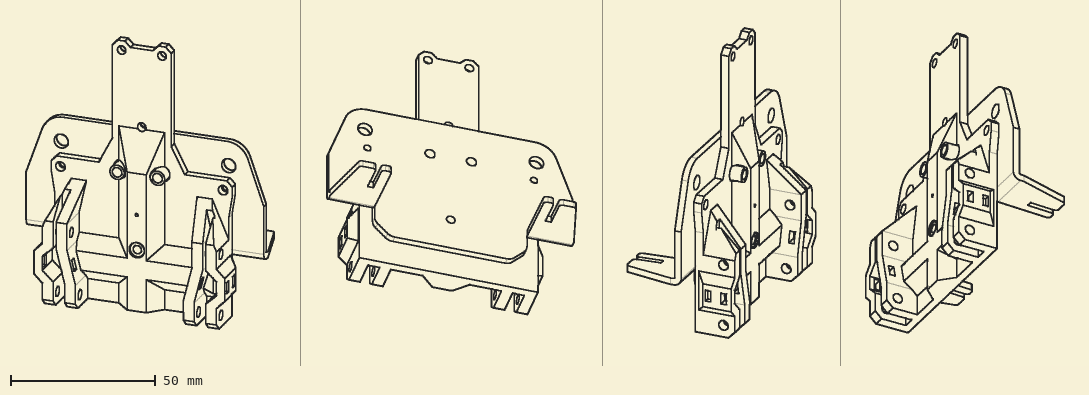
import cadquery as cq
import math


overall_width = 88.0
overall_depth = 38.1
overall_height = 98.3

plate_depth = 3.0
strip_half_width = 10.9
strip_base_z = 61.3
ear_inner_x = 4.1
ear_chamfer = 2.1
notch_z = overall_height - ear_chamfer
shoulder_z = 51.6
shoulder_inner_x = 15.9
shoulder_outer_x = 33.5
shoulder_chamfer = 2.1
taper_top_z = 46.2
taper_bottom_z = 38.1

rib_depth = 8.0
rib_front_half = 3.5
rib_base_half = rib_front_half + rib_depth - plate_depth
spine_base_top_z = 66.2
spine_front_top_z = shoulder_z
beam_z = 15.9

arm_depth = 15.0
arm_thickness = 4.0
arm_slope_bottom_z = 32.0
arm_top_z = arm_slope_bottom_z + arm_depth - plate_depth
arm_foot_chamfer = 2.5
outer_arm_x = 32.2
outer_arm_bend_z = 29.7
outer_arm_lean = 6.2
inner_arm_x = 27.1
inner_arm_foot_x = 24.0
inner_arm_lean = 2.7
gap_floor_depth = 6.1

bulge_height = 3.0
bulge_base_half = 7.4
bulge_base_depth = 1.3
pocket_half = 6.3
pocket_end_half = 2.6
pocket_depth = plate_depth + rib_base_half - pocket_half
pocket_floor_end_x = 27.3

arm_hole_diameter = 3.5
arm_hole_depth = 10.7
arm_hole_zs = (4.4, 27.2)
window_height = 4.0
window_width = 2.1
blind_window_depth = 6.2
through_window_depth = 12.2
blind_window_length = 2.0

screw_hole_diameter = 3.0
ear_hole_x = 7.5
ear_hole_z = 94.7
strip_hole_z = 67.0
pin_hole_diameter = 1.0
pin_hole_z = 36.1
pin_hole_length = 2.0
corner_hole_x = 30.1
corner_hole_z = 47.9
corner_hole_diameter = 3.4

sheet_thickness = 2.5
sheet_half_width = overall_width / 2
sheet_top_z = 65.1
sheet_slant_bottom_z = 42.7
sheet_slant_top_x = 36.2
sheet_corner_radius = 8.2
sheet_corner_hole_diameter = 2.5
mount_hole_diameter = 5.1
mount_hole_x = 31.0
mount_hole_z = 56.0
lobe_half_width = 27.5
lobe_bottom_z = 10.2
lobe_chamfer = 5.7
lobe_corner_radius = 7.2 / 2

stud_diameter = 5.3
upper_clearance_diameter = 5.9
lower_clearance_diameter = 5.6
stud_depth = 7.4
upper_stud_x = ear_hole_x
upper_stud_z = 50.7
upper_bore_diameter = 3.5
lower_stud_z = 22.9
lower_bore_diameter = screw_hole_diameter

bend_z = 24.9
bend_outer_radius = 5.6 / 2
bend_inner_radius = bend_outer_radius - sheet_thickness
tab_tilt = math.radians(2.3)
tab_end_depth = arm_depth - overall_depth
tab_straight_end_depth = -4.1
tab_outer_tip_x = 39.0
tab_slot_outer_x = 33.1
tab_slot_width = 2.1
tab_slot_end_depth = -12.7
tab_corner_radius = 1.2


def prism(points, depth_from, depth_to):
    """Extrude an X-Z outline between two depths."""
    plane = cq.Workplane("XZ", origin=(0, -depth_from, 0))
    return plane.polyline(points).close().extrude(depth_to - depth_from)


def side_prism(points, x_from, x_to):
    """Extrude a (depth, Z) outline between two X positions."""
    plane = cq.Workplane("YZ", origin=(x_from, 0, 0))
    return plane.polyline([(-depth, z) for depth, z in points]).close().extrude(x_to - x_from)


def cylinder(x, z, diameter, depth_from, depth_to):
    plane = cq.Workplane("XZ", origin=(x, -depth_from, z))
    return plane.circle(diameter / 2).extrude(depth_to - depth_from)


def both_sides(shape):
    return shape.union(shape.mirror("YZ"))


def mirrored_outline(right_points):
    """Complete an outline from its right half, listed from bottom to top."""
    return right_points + [(-x, z) for x, z in reversed(right_points)]


def plate():
    right_half = [
        (outer_arm_x, 0),
        (outer_arm_x, taper_bottom_z),
        (shoulder_outer_x, taper_top_z),
        (shoulder_outer_x, shoulder_z - shoulder_chamfer),
        (shoulder_outer_x - shoulder_chamfer, shoulder_z),
        (shoulder_inner_x, shoulder_z),
        (strip_half_width, strip_base_z),
        (strip_half_width, overall_height - ear_chamfer),
        (strip_half_width - ear_chamfer, overall_height),
        (ear_inner_x + ear_chamfer, overall_height),
        (ear_inner_x, notch_z),
    ]
    return prism(mirrored_outline(right_half), 0, plate_depth)


def spine():
    """Vertical rib with 45 degree flanks and a sloped upper end."""
    section = [
        (-rib_base_half, -plate_depth),
        (-rib_front_half, -rib_depth),
        (rib_front_half, -rib_depth),
        (rib_base_half, -plate_depth),
    ]
    bar = cq.Workplane("XY").polyline(section).close().extrude(spine_base_top_z)
    side_outline = [
        (plate_depth, 0),
        (rib_depth, 0),
        (rib_depth, spine_front_top_z),
        (plate_depth, spine_base_top_z),
    ]
    return bar.intersect(side_prism(side_outline, -rib_base_half, rib_base_half))


def beam():
    """Cross rib between the outer arms, with the same section as the spine."""
    section = [
        (plate_depth, beam_z - rib_base_half),
        (rib_depth, beam_z - rib_front_half),
        (rib_depth, beam_z + rib_front_half),
        (plate_depth, beam_z + rib_base_half),
    ]
    reach = outer_arm_x - arm_thickness
    return side_prism(section, -reach, reach)


def arm_envelope():
    """Side outline shared by both arms: a 45 degree top and a chamfered foot."""
    outline = [
        (0, 0),
        (arm_depth - arm_foot_chamfer, 0),
        (arm_depth, arm_foot_chamfer),
        (arm_depth, arm_slope_bottom_z),
        (plate_depth, arm_top_z),
        (0, arm_top_z),
    ]
    return side_prism(outline, 0, sheet_half_width)


def arm(outer_edge):
    """Arm of constant X thickness whose outer edge follows the given X-Z points."""
    inner_edge = [(x - arm_thickness, z) for x, z in reversed(outer_edge)]
    return prism(outer_edge + inner_edge, 0, arm_depth)


def bulge():
    """Trapezoidal swelling of the outer arm, bevelled at 45 degrees toward the plate."""
    top_half = bulge_base_half - bulge_height
    outline = [
        (outer_arm_x, beam_z - bulge_base_half),
        (outer_arm_x + bulge_height, beam_z - top_half),
        (outer_arm_x + bulge_height, beam_z + top_half),
        (outer_arm_x, beam_z + bulge_base_half),
    ]
    bevel = [
        (outer_arm_x, -bulge_base_depth),
        (outer_arm_x + bulge_height, -bulge_base_depth - bulge_height),
        (outer_arm_x + bulge_height, -arm_depth),
        (outer_arm_x, -arm_depth),
    ]
    envelope = cq.Workplane("XY").polyline(bevel).close().extrude(arm_slope_bottom_z)
    return prism(outline, 0, arm_depth).intersect(envelope)


def pocket():
    """Clearance between the arms: a flat floor ending in a 45 degree rise toward the spine."""
    outline = [
        (0, beam_z - pocket_half),
        (outer_arm_x - arm_thickness, beam_z - pocket_half),
        (outer_arm_x, beam_z - pocket_end_half),
        (outer_arm_x, beam_z + pocket_end_half),
        (outer_arm_x - arm_thickness, beam_z + pocket_half),
        (0, beam_z + pocket_half),
    ]
    rise = arm_depth - pocket_depth
    floor = [
        (outer_arm_x, -pocket_depth),
        (pocket_floor_end_x, -pocket_depth),
        (pocket_floor_end_x - rise, -arm_depth),
        (outer_arm_x, -arm_depth),
    ]
    envelope = cq.Workplane("XY").polyline(floor).close().extrude(arm_slope_bottom_z)
    return prism(outline, 0, arm_depth).intersect(envelope)


def outer_arm():
    """Arm that leans inward near its top, cut back beside the inner arm to leave a gap."""
    edge = [
        (outer_arm_x, 0),
        (outer_arm_x, outer_arm_bend_z),
        (outer_arm_x - outer_arm_lean, arm_top_z),
    ]
    gap_outer_x = outer_arm_x - arm_thickness
    gap_outline = [(0, 0), (gap_outer_x, 0), (gap_outer_x, arm_top_z), (0, arm_top_z)]
    gap = prism(gap_outline, gap_floor_depth, arm_depth)
    return arm(edge).intersect(arm_envelope()).cut(gap).union(bulge())


def inner_arm():
    """Arm that steps away from the bulge at its foot."""
    edge = [
        (inner_arm_foot_x, 0),
        (inner_arm_foot_x, beam_z - pocket_half),
        (inner_arm_x, beam_z + pocket_half),
        (inner_arm_x, arm_slope_bottom_z),
        (inner_arm_x - inner_arm_lean, arm_top_z),
    ]
    return arm(edge).intersect(arm_envelope())


def arm_openings():
    """Round holes and a window through both arms, and a blind window in the outer face."""
    end_x = inner_arm_foot_x - arm_thickness
    bulge_x = outer_arm_x + bulge_height
    plane = cq.Workplane("YZ", origin=(end_x, 0, 0))
    holes = plane.pushPoints([(-arm_hole_depth, z) for z in arm_hole_zs])
    through_window = plane.center(-through_window_depth, beam_z)
    blind_window = cq.Workplane("YZ", origin=(bulge_x, -blind_window_depth, beam_z))
    return (
        holes.circle(arm_hole_diameter / 2).extrude(bulge_x - end_x)
        .union(through_window.rect(window_width, window_height).extrude(bulge_x - end_x))
        .union(blind_window.rect(window_width, window_height).extrude(-blind_window_length))
    )


def at_studs(upper_diameter, lower_diameter, depth_from, depth_to):
    """Cylinders on the three stud axes: a mirrored upper pair and one lower centre stud."""
    upper = cylinder(upper_stud_x, upper_stud_z, upper_diameter, depth_from, depth_to)
    lower = cylinder(0, lower_stud_z, lower_diameter, depth_from, depth_to)
    return both_sides(upper).union(lower)


def bracket_holes():
    ear = cylinder(ear_hole_x, ear_hole_z, screw_hole_diameter, 0, plate_depth)
    corner = cylinder(corner_hole_x, corner_hole_z, corner_hole_diameter, 0, plate_depth)
    strip = cylinder(0, strip_hole_z, screw_hole_diameter, 0, rib_depth)
    pin = cylinder(0, pin_hole_z, pin_hole_diameter, rib_depth - pin_hole_length, rib_depth)
    clearance = at_studs(upper_clearance_diameter, lower_clearance_diameter, 0, rib_depth)
    return both_sides(ear).union(both_sides(corner)).union(strip).union(pin).union(clearance)


def make_bracket():
    body = plate().union(beam()).union(both_sides(outer_arm()))
    body = body.cut(both_sides(pocket()))
    body = body.union(both_sides(inner_arm()))
    body = body.cut(both_sides(arm_openings()))
    return body.union(spine()).cut(bracket_holes())


def sheet():
    """Flat part of the back plate: the upper shield and the lower lobe between the tabs."""
    right_shield = [
        (sheet_half_width, bend_z),
        (sheet_half_width, sheet_slant_bottom_z),
        (sheet_slant_top_x, sheet_top_z),
    ]
    shield = prism(mirrored_outline(right_shield), -sheet_thickness, 0)
    shield = shield.edges("|Y and >Z").fillet(sheet_corner_radius)
    right_lobe = [
        (lobe_half_width - lobe_chamfer, lobe_bottom_z),
        (lobe_half_width, lobe_bottom_z + lobe_chamfer),
        (lobe_half_width, bend_z),
    ]
    lobe = prism(mirrored_outline(right_lobe), -sheet_thickness, 0)
    lobe = lobe.edges("|Y and (not >Z)").fillet(lobe_corner_radius)
    return shield.union(lobe)


def tab_profile():
    """(Y, Z) section of the bend and the slightly drooping tab, swept across the whole half."""
    centre_y = bend_outer_radius
    end_y = -tab_end_depth

    def bend_point(radius, angle):
        return (centre_y - radius * math.cos(angle), bend_z - radius * math.sin(angle))

    turn = math.pi / 2 - tab_tilt
    outer_end = bend_point(bend_outer_radius, turn)
    inner_end = bend_point(bend_inner_radius, turn)
    drop = math.tan(tab_tilt)
    return (
        cq.Workplane("YZ", origin=(lobe_half_width, 0, 0))
        .moveTo(0, bend_z)
        .threePointArc(bend_point(bend_outer_radius, turn / 2), outer_end)
        .lineTo(end_y, outer_end[1] - (end_y - outer_end[0]) * drop)
        .lineTo(end_y, inner_end[1] - (end_y - inner_end[0]) * drop)
        .lineTo(*inner_end)
        .threePointArc(bend_point(bend_inner_radius, turn / 2), (sheet_thickness, bend_z))
        .close()
        .extrude(sheet_half_width - lobe_half_width)
    )


def tab_outline():
    """Tab seen along Z: a tapered outer edge, and a slot that splits the end into two prongs."""
    end_y = -tab_end_depth
    slot_inner_x = tab_slot_outer_x - tab_slot_width
    blank = (
        cq.Workplane("XY")
        .polyline([
            (lobe_half_width, 0),
            (sheet_half_width, 0),
            (sheet_half_width, -tab_straight_end_depth),
            (tab_outer_tip_x, end_y),
            (tab_slot_outer_x, end_y),
            (tab_slot_outer_x, -tab_slot_end_depth),
            (slot_inner_x, -tab_slot_end_depth),
            (slot_inner_x, end_y),
            (lobe_half_width, end_y),
        ])
        .close()
        .extrude(bend_z)
    )
    return blank.edges("|Z and >Y").fillet(tab_corner_radius)


def make_back_plate():
    tab = tab_profile().intersect(tab_outline())
    body = sheet().union(both_sides(tab))
    mount = cylinder(mount_hole_x, mount_hole_z, mount_hole_diameter, -sheet_thickness, 0)
    corner = cylinder(corner_hole_x, corner_hole_z, sheet_corner_hole_diameter, -sheet_thickness, 0)
    body = body.cut(both_sides(mount)).cut(both_sides(corner))
    studs = at_studs(stud_diameter, stud_diameter, -sheet_thickness, stud_depth)
    bores = at_studs(upper_bore_diameter, lower_bore_diameter, -sheet_thickness, stud_depth)
    return body.union(studs).cut(bores)


bracket = make_bracket()
back_plate = make_back_plate()

result = cq.Compound.makeCompound([bracket.val(), back_plate.val()])